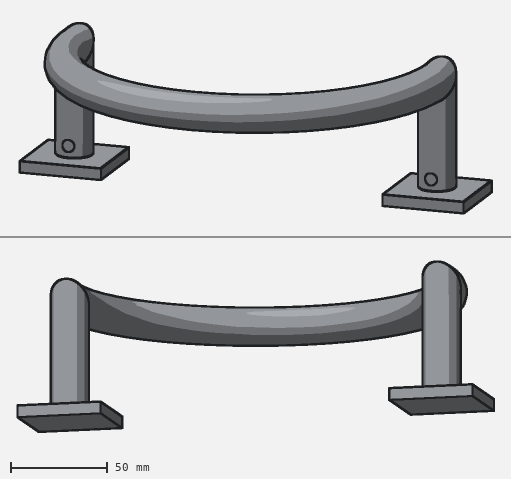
import cadquery as cq
import math

OVERALL_LENGTH = 242.5
OVERALL_HEIGHT = 73.7
PLATE_SIDE = 44.5
PLATE_THICKNESS = 6.3
PLATE_CHAMFER = 0.2
BAR_DIAMETER = 20.0
POST_CHAMFER = 0.7
SCREW_DIAMETER = 6.5
SCREW_HEIGHT = 13.0

BAR_RADIUS = BAR_DIAMETER / 2
BOW_RADIUS = (OVERALL_LENGTH - PLATE_SIDE) / 2
BOW_HEIGHT = OVERALL_HEIGHT - BAR_RADIUS
POST_POSITIONS = (-BOW_RADIUS, BOW_RADIUS)


def make_mitre_block():
    """Everything below the 45 degree mitre plane that the ends of the bow could reach."""
    half_length = BOW_RADIUS + BAR_DIAMETER
    return (
        cq.Workplane("YZ")
        .polyline([
            (-BAR_DIAMETER, BOW_HEIGHT - BAR_DIAMETER),
            (BAR_DIAMETER, BOW_HEIGHT - BAR_DIAMETER),
            (BAR_DIAMETER, BOW_HEIGHT + BAR_DIAMETER),
        ])
        .close()
        .extrude(half_length, both=True)
    )


def make_bow():
    """Ring bar running just past a half turn, mitred at both ends to sit on the posts."""
    overrun = math.degrees(math.asin(BAR_RADIUS / (BOW_RADIUS - BAR_RADIUS)))
    ring = (
        cq.Workplane("XZ")
        .center(BOW_RADIUS, BOW_HEIGHT)
        .circle(BAR_RADIUS)
        .revolve(180 + 2 * overrun, (-BOW_RADIUS, 0), (-BOW_RADIUS, 1))
    )
    bar = ring.rotate((0, 0, 0), (0, 0, 1), 180 - overrun)
    return bar.cut(make_mitre_block())


def make_post_bar(x):
    """Round bar standing on the plate, chamfered at its foot and not yet mitred."""
    return (
        cq.Workplane("XY", origin=(x, 0, PLATE_THICKNESS))
        .circle(BAR_RADIUS)
        .extrude(OVERALL_HEIGHT - PLATE_THICKNESS)
        .faces("<Z")
        .chamfer(POST_CHAMFER)
    )


def make_screw(x):
    """Set screw from the post axis to the front of the post, its end flush with the round surface."""
    shank = (
        cq.Workplane("XZ", origin=(x, 0, SCREW_HEIGHT))
        .circle(SCREW_DIAMETER / 2)
        .extrude(BAR_RADIUS)
    )
    return shank.intersect(make_post_bar(x))


def make_post(x):
    """Upright with a mitred top, rising to the back, and a hole for its set screw."""
    mitred_side = (
        cq.Workplane("YZ", origin=(x, 0, 0))
        .polyline([
            (-BAR_RADIUS, PLATE_THICKNESS),
            (BAR_RADIUS, PLATE_THICKNESS),
            (BAR_RADIUS, OVERALL_HEIGHT),
            (-BAR_RADIUS, OVERALL_HEIGHT - BAR_DIAMETER),
        ])
        .close()
        .extrude(BAR_RADIUS, both=True)
    )
    return make_post_bar(x).intersect(mitred_side).cut(make_screw(x))


def make_plate(x):
    """Square base plate with a chamfered top rim."""
    return (
        cq.Workplane("XY", origin=(x, 0, 0))
        .rect(PLATE_SIDE, PLATE_SIDE)
        .extrude(PLATE_THICKNESS)
        .faces(">Z")
        .chamfer(PLATE_CHAMFER)
    )


bow = make_bow()
posts = [make_post(x) for x in POST_POSITIONS]
plates = [make_plate(x) for x in POST_POSITIONS]
screws = [make_screw(x) for x in POST_POSITIONS]

result = cq.Compound.makeCompound([
    bow.solids().val(),
    *[post.solids().val() for post in posts],
    *[plate.solids().val() for plate in plates],
    *[screw.solids().val() for screw in screws],
])